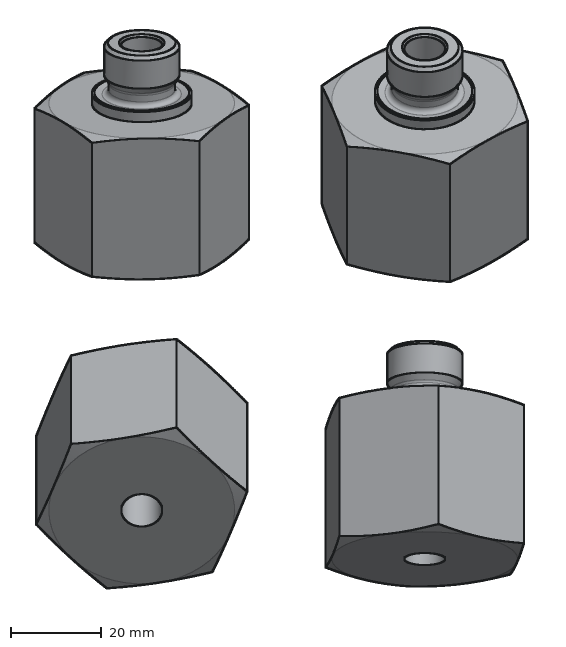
import cadquery as cq
import math

across_flats = 41.05
across_corners = across_flats / math.cos(math.radians(30))
total_height = 48.0
body_height = 33.6
corner_chamfer_angle = math.radians(15)
chamfer_circle_radius = across_flats / 2 - 0.05

thread_radius = 16.65 / 2
thread_bottom = 40.45
thread_chamfer = 0.85
neck_radius = 14.7 / 2
neck_fillet = 1.15
runout_angle = math.radians(30)

collar_radius = 22.0 / 2
collar_side_top = 36.0
rim_width = 0.55
rim_height = 0.15
dish_angle = math.radians(12)

bore_radius = 9.0 / 2
bore_chamfer = 0.5


def make_hex_body():
    """Hexagonal prism whose corners are cut by a shallow cone at both ends."""
    prism = (
        cq.Workplane("XY")
        .polygon(6, across_corners)
        .extrude(body_height)
        .rotate((0, 0, 0), (0, 0, 1), 30)
    )
    envelope_radius = across_corners / 2 + 0.5
    drop = (envelope_radius - chamfer_circle_radius) * math.tan(corner_chamfer_angle)
    envelope = (
        cq.Workplane("XZ")
        .moveTo(0, 0)
        .lineTo(chamfer_circle_radius, 0)
        .lineTo(envelope_radius, drop)
        .lineTo(envelope_radius, body_height - drop)
        .lineTo(chamfer_circle_radius, body_height)
        .lineTo(0, body_height)
        .close()
        .revolve(360, (0, 0, 0), (0, 1, 0))
    )
    return prism.intersect(envelope)


def make_spigot():
    """Revolved collar, undercut neck and thread blank."""
    rim_radius = collar_radius - rim_width
    rim_top = collar_side_top + rim_height

    fillet_center_r = neck_radius + neck_fillet
    dish_end_r = fillet_center_r + neck_fillet * math.sin(dish_angle)
    dish_end_z = rim_top - (rim_radius - dish_end_r) * math.tan(dish_angle)
    lower_center_z = dish_end_z + neck_fillet * math.cos(dish_angle)

    runout_start_r = fillet_center_r - neck_fillet * math.cos(runout_angle)
    runout_start_z = thread_bottom - (thread_radius - runout_start_r) / math.tan(runout_angle)
    upper_center_z = runout_start_z - neck_fillet * math.sin(runout_angle)

    def fillet_point(center_z, angle):
        """Point on a neck fillet at an angle above the inward radial direction."""
        return (
            fillet_center_r - neck_fillet * math.cos(angle),
            center_z + neck_fillet * math.sin(angle),
        )

    lower_mid = fillet_point(lower_center_z, -(math.pi / 2 + dish_angle) / 2)
    upper_mid = fillet_point(upper_center_z, runout_angle / 2)

    return (
        cq.Workplane("XZ")
        .moveTo(0, body_height / 2)
        .lineTo(collar_radius, body_height / 2)
        .lineTo(collar_radius, collar_side_top)
        .lineTo(rim_radius, rim_top)
        .lineTo(dish_end_r, dish_end_z)
        .threePointArc(lower_mid, (neck_radius, lower_center_z))
        .lineTo(neck_radius, upper_center_z)
        .threePointArc(upper_mid, (runout_start_r, runout_start_z))
        .lineTo(thread_radius, thread_bottom)
        .lineTo(thread_radius, total_height - thread_chamfer)
        .lineTo(thread_radius - thread_chamfer, total_height)
        .lineTo(0, total_height)
        .close()
        .revolve(360, (0, 0, 0), (0, 1, 0))
    )


def make_bore():
    """Through bore with a chamfered mouth at the top."""
    return (
        cq.Workplane("XZ")
        .lineTo(bore_radius, 0)
        .lineTo(bore_radius, total_height - bore_chamfer)
        .lineTo(bore_radius + bore_chamfer, total_height)
        .lineTo(0, total_height)
        .close()
        .revolve(360, (0, 0, 0), (0, 1, 0))
    )


result = make_hex_body().union(make_spigot()).cut(make_bore())